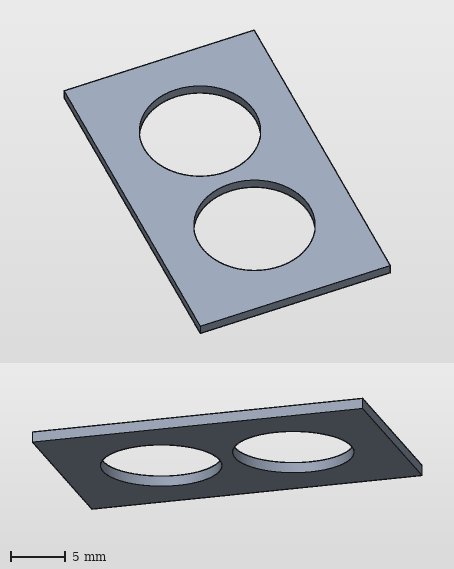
import cadquery as cq

plate_length = 31.75
plate_width = 19.05
plate_thickness = 1.0
hole_diameter = 11.18
hole_spacing = 12.7


def make_plate():
    """Flat rectangular plate centred on the origin."""
    return cq.Workplane("XY").box(plate_length, plate_width, plate_thickness)


def cut_holes(plate):
    """Two equal through holes, placed symmetrically along the plate length."""
    hole_centres = [(side * hole_spacing / 2, 0) for side in (-1, 1)]
    return plate.faces(">Z").workplane().pushPoints(hole_centres).hole(hole_diameter)


result = cut_holes(make_plate())